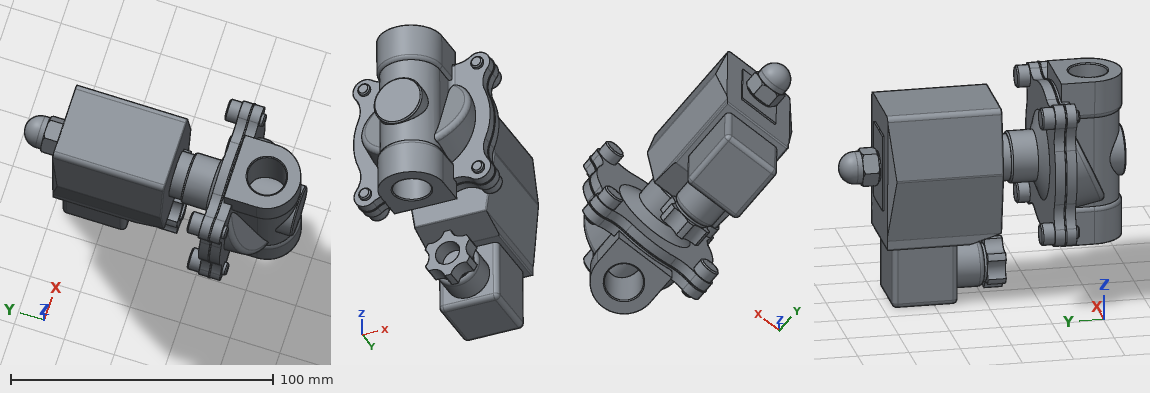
import cadquery as cq
import math


TILT = -0.5

FLANGE_HALF = 4.2
BOLT_OFFSET = 23.5
LOBE_RADIUS = 5.0
BULGE_RADIUS = 28.5
WAIST_RADIUS = 10.0
GASKET_THICKNESS = 0.5
GASKET_OVERHANG = 0.2

SCREW_DIAMETER = 5.0
SCREW_HEAD_DIAMETER = 8.5
SCREW_HEAD_HEIGHT = 5.0
SCREW_STICK_OUT = 1.6
SCREW_CHAMFER = 0.5

PIPE_Y = -14.2
PORT_RADIUS = 13.0
PORT_BACK_Y = -1.2
PORT_END_Z = 33.1
PORT_LENGTH = 15.3
PORT_FILLET = 2.0
BARREL_RADIUS = 12.0
BARREL_FLARE = 2.0
FLARE_TOP_Z = 25.1
BORE_DIAMETER = 15.0
BORE_CHAMFER = 0.4
PLUG_DIAMETER = 20.0
PLUG_CHAMFER = 0.5

CHAMBER_RADIUS = 22.4
CHAMBER_ANGLE = 25
CHAMBER_FACE_Y = -11
CHAMBER_FACE_Z = 1.9
CHAMBER_BASE_Z = -0.4
CHAMBER_FILLET = 2.0

BONNET_BASE_DIAMETER = 34.8
BONNET_TOP_Y = 7.0
COLLAR_DIAMETER = 20.0
COLLAR_TOP_Y = 17.4
COLLAR_CHAMFER = 0.7
NECK_DIAMETER = 18.0

COIL_FRONT_Y = 22.3
COIL_BACK_Y = 66.9
COIL_HALF_WIDTH = 18.7
COIL_END_HALF_WIDTH = 15.0
COIL_RIDGE_HALF_HEIGHT = 0.3
COIL_TOP_Z = 25.2
COIL_SHOULDER_Z = -25.2
COIL_BOTTOM_Z = -29.2
COIL_TOP_FILLET = 2.2
COIL_FRONT_FILLET = 0.4
COIL_BOTTOM_FILLET = 0.5
COIL_SLANT_LENGTH = 12.9
BACK_BEVEL_HALF_WIDTH = 15.3
BACK_BEVEL_DEPTH = 2.9
KEY_WIDTH = 0.9
KEY_LENGTH = 3.0
KEY_HEIGHT = 2.0

PLATE_WIDTH = 16.5
PLATE_HEIGHT = 30.4
PLATE_THICKNESS = 0.7
NUT_CORNER_DIAMETER = 15.0
NUT_SEAT_DIAMETER = 12.0
NUT_SEAT_HEIGHT = 0.7
NUT_HEIGHT = 6.3
NUT_CORNER_CHAMFER = 0.7
DOME_DIAMETER = 12.5
TIP_Y = 82.8

CONNECTOR_WIDTH = 25.0
CONNECTOR_FRONT_Y = 38.8
CONNECTOR_BACK_Y = 64.2
CONNECTOR_BOTTOM_Z = -54.0
CONNECTOR_FILLET = 2.0
GLAND_Z = -42.2
GLAND_DIAMETER = 18.0
GLAND_LENGTH = 11.4
GLAND_FILLET = 2.0
GLAND_NECK_DIAMETER = 15.0
GLAND_NECK_LENGTH = 1.0
KNOB_DIAMETER = 20.0
KNOB_HOLLOW_DIAMETER = 15.5
KNOB_LENGTH = 7.0
KNOB_LOBES = 6
KNOB_LOBE_HALF_ANGLE = 8
CABLE_HOLE_DIAMETER = 10.0


def plane_at(y, z=0):
    """Sketch plane across the spindle axis; sketch x is X and sketch y is Z."""
    return cq.Workplane("XZ", origin=(0, y, z))


def cylinder(diameter, y_start, y_end, z=0):
    return plane_at(y_start, z).circle(diameter / 2).extrude(y_start - y_end)


def polar(radius, degrees):
    angle = math.radians(degrees)
    return radius * math.cos(angle), radius * math.sin(angle)




def flange_slab(y_start, y_end, overhang=0):
    """Four bolt lobes and four bulges, joined by tangent hollows."""
    lobe = LOBE_RADIUS + overhang
    bulge = BULGE_RADIUS + overhang
    waist = WAIST_RADIUS - overhang
    bolt_distance = BOLT_OFFSET * math.sqrt(2)
    waist_distance = bulge + waist
    cos_between = (bolt_distance**2 + waist_distance**2 - (lobe + waist) ** 2) / (
        2 * bolt_distance * waist_distance
    )
    waist_angle = 45 - math.degrees(math.acos(cos_between))
    waist_centre = polar(waist_distance, waist_angle)

    share = lobe / (lobe + waist)
    touch_x = BOLT_OFFSET + share * (waist_centre[0] - BOLT_OFFSET)
    touch_z = BOLT_OFFSET + share * (waist_centre[1] - BOLT_OFFSET)
    touch_radius = math.hypot(touch_x, touch_z)
    touch_angle = math.degrees(math.atan2(touch_z, touch_x))

    to_lobe = math.degrees(math.atan2(touch_z - waist_centre[1], touch_x - waist_centre[0]))
    middle_offset = polar(waist, (to_lobe % 360 + 180 + waist_angle) / 2)
    middle_x = waist_centre[0] + middle_offset[0]
    middle_z = waist_centre[1] + middle_offset[1]
    middle_radius = math.hypot(middle_x, middle_z)
    middle_angle = math.degrees(math.atan2(middle_z, middle_x))

    outline = plane_at(y_start).moveTo(*polar(bulge, -waist_angle))
    for turn in range(0, 360, 90):
        outline = (
            outline.threePointArc(polar(bulge, turn), polar(bulge, turn + waist_angle))
            .threePointArc(polar(middle_radius, turn + middle_angle), polar(touch_radius, turn + touch_angle))
            .threePointArc(
                polar(bolt_distance + lobe, turn + 45), polar(touch_radius, turn + 90 - touch_angle)
            )
            .threePointArc(
                polar(middle_radius, turn + 90 - middle_angle), polar(bulge, turn + 90 - waist_angle)
            )
        )
    return outline.close().extrude(y_start - y_end)


def pipe_section(radius, back_y, z_start, z_end):
    """Half-round front with straight sides running back to back_y."""
    return (
        cq.Workplane("XY", origin=(0, 0, z_start))
        .moveTo(-radius, back_y)
        .lineTo(-radius, PIPE_Y)
        .threePointArc((0, PIPE_Y - radius), (radius, PIPE_Y))
        .lineTo(radius, back_y)
        .close()
        .extrude(z_end - z_start)
    )


def ports():
    inner_z = PORT_END_Z - PORT_LENGTH
    upper = pipe_section(PORT_RADIUS, PORT_BACK_Y, inner_z, PORT_END_Z)
    upper = upper.faces("<Z").edges("not >Y").fillet(PORT_FILLET)
    return upper.union(upper.mirror("XY"))


def barrel_flare():
    """Hollow fillets where the upper barrel sides meet the flange."""
    root_y = -FLANGE_HALF
    edge_y = root_y - BARREL_FLARE
    wide = BARREL_RADIUS + BARREL_FLARE
    inset = BARREL_FLARE * (1 - math.sqrt(0.5))
    return (
        cq.Workplane("XY")
        .moveTo(-wide, root_y)
        .threePointArc((-BARREL_RADIUS - inset, root_y - inset), (-BARREL_RADIUS, edge_y))
        .lineTo(BARREL_RADIUS, edge_y)
        .threePointArc((BARREL_RADIUS + inset, root_y - inset), (wide, root_y))
        .close()
        .extrude(FLARE_TOP_Z)
    )


def chamber():
    """Round chamber that leans from the joint to a slanted flat face."""
    angle = math.radians(CHAMBER_ANGLE)
    slope = cq.Vector(0, -math.cos(angle), math.sin(angle))
    base = cq.Wire.makeCircle(CHAMBER_RADIUS, cq.Vector(0, 0, CHAMBER_BASE_Z), cq.Vector(0, -1, 0))
    face = cq.Wire.makeCircle(CHAMBER_RADIUS, cq.Vector(0, CHAMBER_FACE_Y, CHAMBER_FACE_Z), slope)
    body = cq.Workplane(cq.Solid.makeLoft([base, face], True))
    return body.faces("<Y").edges().fillet(CHAMBER_FILLET)


def bores():
    """Port bores with a small lead-in chamfer, ending on the central plug."""
    bore = cq.Workplane("XY", origin=(0, PIPE_Y, 0)).circle(BORE_DIAMETER / 2).extrude(PORT_END_Z)
    mouth = (
        cq.Workplane("XY", origin=(0, PIPE_Y, PORT_END_Z))
        .circle(BORE_DIAMETER / 2 + BORE_CHAMFER)
        .extrude(-BORE_CHAMFER, taper=45)
    )
    upper = bore.union(mouth)
    return upper.union(upper.mirror("XY"))


def bonnet():
    profile = [
        (0, 0),
        (BONNET_BASE_DIAMETER / 2, FLANGE_HALF),
        (COLLAR_DIAMETER / 2, BONNET_TOP_Y),
        (COLLAR_DIAMETER / 2, COLLAR_TOP_Y - COLLAR_CHAMFER),
        (COLLAR_DIAMETER / 2 - COLLAR_CHAMFER, COLLAR_TOP_Y),
        (NECK_DIAMETER / 2, COLLAR_TOP_Y),
        (NECK_DIAMETER / 2, COIL_FRONT_Y),
        (0, COIL_FRONT_Y),
    ]
    return cq.Workplane("XY").polyline(profile).close().revolve(360, (0, 0, 0), (0, 1, 0))


def make_valve():
    plug_front_y = PIPE_Y - PORT_RADIUS
    plug = cylinder(PLUG_DIAMETER, plug_front_y, 0).faces("<Y").chamfer(PLUG_CHAMFER)
    inner_z = PORT_END_Z - PORT_LENGTH + PORT_FILLET
    body = (
        flange_slab(-FLANGE_HALF, FLANGE_HALF)
        .union(flange_slab(-GASKET_THICKNESS / 2, GASKET_THICKNESS / 2, GASKET_OVERHANG))
        .union(pipe_section(BARREL_RADIUS, PORT_BACK_Y, -inner_z, inner_z))
        .union(barrel_flare())
        .union(chamber())
        .union(ports())
        .cut(bores())
        .union(plug)
        .union(bonnet())
    )
    for x, z in bolt_centres():
        hole = cylinder(SCREW_DIAMETER, -FLANGE_HALF, FLANGE_HALF)
        body = body.cut(hole.translate((x, 0, z)))
    return body




def bolt_centres():
    return [(x, z) for x in (-BOLT_OFFSET, BOLT_OFFSET) for z in (-BOLT_OFFSET, BOLT_OFFSET)]


def make_screw(x, z):
    tip_y = -FLANGE_HALF - SCREW_STICK_OUT
    head_y = FLANGE_HALF + SCREW_HEAD_HEIGHT
    shank = cylinder(SCREW_DIAMETER, tip_y, FLANGE_HALF).faces("<Y").chamfer(SCREW_CHAMFER)
    head = cylinder(SCREW_HEAD_DIAMETER, FLANGE_HALF, head_y).faces(">Y").chamfer(SCREW_CHAMFER)
    return shank.union(head).translate((x, 0, z))




def coil_housing():
    """Six-sided block with ridged flanks, a slanted front bottom and bevelled back corners."""
    right_side = [
        (COIL_END_HALF_WIDTH, COIL_BOTTOM_Z),
        (COIL_END_HALF_WIDTH, COIL_SHOULDER_Z),
        (COIL_HALF_WIDTH, -COIL_RIDGE_HALF_HEIGHT),
        (COIL_HALF_WIDTH, COIL_RIDGE_HALF_HEIGHT),
        (COIL_END_HALF_WIDTH, COIL_TOP_Z),
    ]
    left_side = [(-x, z) for x, z in reversed(right_side)]
    block = plane_at(COIL_FRONT_Y).polyline(right_side + left_side).close()
    block = block.extrude(COIL_FRONT_Y - COIL_BACK_Y)
    block = block.edges("|Y and >Z").fillet(COIL_TOP_FILLET)

    slant = (
        cq.Workplane("YZ")
        .moveTo(COIL_FRONT_Y, COIL_SHOULDER_Z)
        .lineTo(COIL_FRONT_Y, COIL_BOTTOM_Z)
        .lineTo(COIL_FRONT_Y + COIL_SLANT_LENGTH, COIL_BOTTOM_Z)
        .close()
        .extrude(COIL_HALF_WIDTH, both=True)
    )
    bevel = (
        cq.Workplane("XY")
        .moveTo(BACK_BEVEL_HALF_WIDTH, COIL_BACK_Y)
        .lineTo(COIL_HALF_WIDTH, COIL_BACK_Y)
        .lineTo(COIL_HALF_WIDTH, COIL_BACK_Y - BACK_BEVEL_DEPTH)
        .close()
        .extrude(COIL_TOP_Z, both=True)
    )
    block = block.cut(slant).cut(bevel).cut(bevel.mirror("YZ"))
    block = block.faces("<Y").edges().fillet(COIL_FRONT_FILLET)
    return block.faces("<Z").edges().fillet(COIL_BOTTOM_FILLET)


def locating_key():
    centre = (NECK_DIAMETER / 2 + KEY_WIDTH / 2, COIL_FRONT_Y - KEY_LENGTH / 2, 0)
    return cq.Workplane("XY").box(KEY_WIDTH, KEY_LENGTH, KEY_HEIGHT).translate(centre)


def cap_nut():
    """Hexagon nut with chamfered corners, a round seat and a domed cap."""
    seat_y = COIL_BACK_Y + PLATE_THICKNESS
    hex_y = seat_y + NUT_SEAT_HEIGHT
    hex_top_y = hex_y + NUT_HEIGHT
    seat = cylinder(NUT_SEAT_DIAMETER, seat_y, hex_y)
    hexagon = plane_at(hex_y).polygon(6, NUT_CORNER_DIAMETER).extrude(-NUT_HEIGHT)
    turned = cylinder(NUT_CORNER_DIAMETER, hex_y, hex_top_y)
    turned = turned.faces("<Y or >Y").chamfer(NUT_CORNER_CHAMFER)
    dome_centre_y = TIP_Y - DOME_DIAMETER / 2
    sleeve = cylinder(DOME_DIAMETER, hex_top_y, dome_centre_y)
    dome = cq.Workplane("XY", origin=(0, dome_centre_y, 0)).sphere(DOME_DIAMETER / 2)
    return seat.union(hexagon.intersect(turned)).union(sleeve).union(dome)


def knob():
    """Star grip with six lobes, one of them straight down."""
    back_y = CONNECTOR_FRONT_Y - GLAND_LENGTH - GLAND_NECK_LENGTH
    step = 360 / KNOB_LOBES
    outer = KNOB_DIAMETER / 2
    outline = plane_at(back_y, GLAND_Z).moveTo(*polar(outer, 90 - KNOB_LOBE_HALF_ANGLE))
    for lobe in range(KNOB_LOBES):
        angle = 90 + lobe * step
        outline = outline.threePointArc(polar(outer, angle), polar(outer, angle + KNOB_LOBE_HALF_ANGLE))
        outline = outline.threePointArc(
            polar(KNOB_HOLLOW_DIAMETER / 2, angle + step / 2),
            polar(outer, angle + step - KNOB_LOBE_HALF_ANGLE),
        )
    grip = outline.close().extrude(KNOB_LENGTH)
    return grip.cut(cylinder(CABLE_HOLE_DIAMETER, back_y - KNOB_LENGTH, back_y, GLAND_Z))


def connector():
    depth = CONNECTOR_BACK_Y - CONNECTOR_FRONT_Y
    height = COIL_BOTTOM_Z - CONNECTOR_BOTTOM_Z
    middle_y = (CONNECTOR_BACK_Y + CONNECTOR_FRONT_Y) / 2
    box = (
        cq.Workplane("XY", origin=(0, middle_y, COIL_BOTTOM_Z))
        .rect(CONNECTOR_WIDTH, depth)
        .extrude(-height)
        .edges("|Z or <Z")
        .fillet(CONNECTOR_FILLET)
    )
    gland_front_y = CONNECTOR_FRONT_Y - GLAND_LENGTH
    gland = cylinder(GLAND_DIAMETER, gland_front_y, CONNECTOR_FRONT_Y, GLAND_Z)
    gland = gland.faces("<Y").edges().fillet(GLAND_FILLET)
    neck = cylinder(GLAND_NECK_DIAMETER, gland_front_y - GLAND_NECK_LENGTH, gland_front_y, GLAND_Z)
    return box.union(gland).union(neck).union(knob())


def make_coil():
    plate = plane_at(COIL_BACK_Y).rect(PLATE_WIDTH, PLATE_HEIGHT).extrude(-PLATE_THICKNESS)
    return coil_housing().union(plate).union(locating_key()).union(cap_nut()).union(connector())


valve = make_valve()
coil = make_coil()
screws = [make_screw(x, z) for x, z in bolt_centres()]

bodies = [valve.val(), coil.val()] + [screw.val() for screw in screws]
axis_start = cq.Vector(0, 0, 0)
axis_end = cq.Vector(0, 1, 0)
result = cq.Compound.makeCompound([body.rotate(axis_start, axis_end, TILT) for body in bodies])